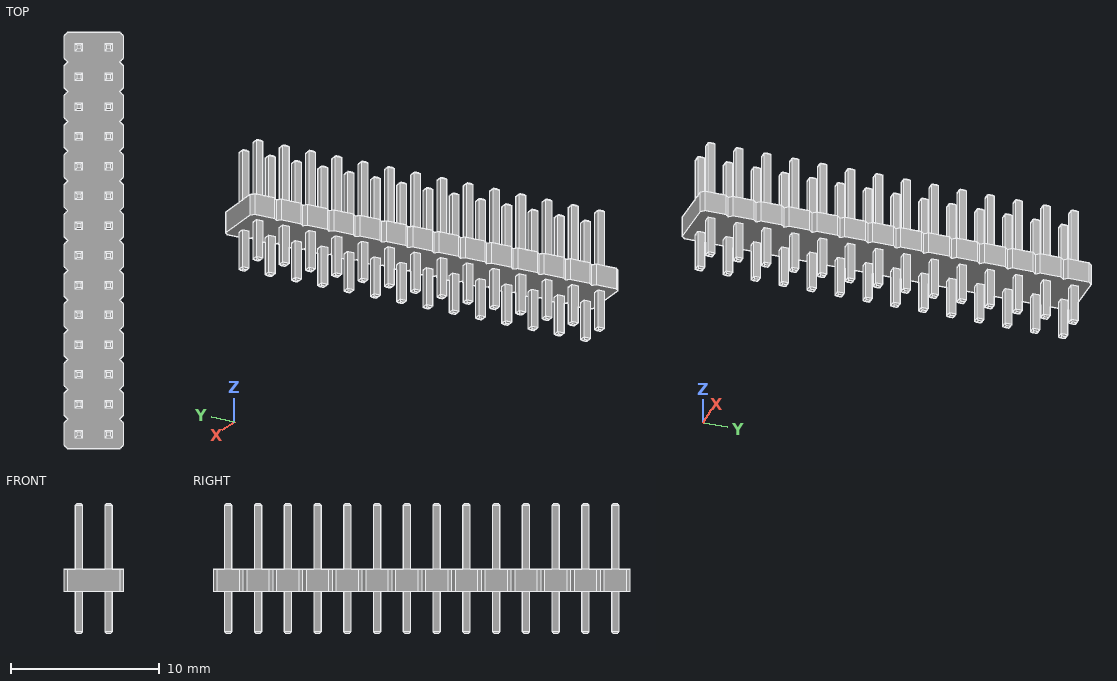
import cadquery as cq

length = 28.0
positions = 14
rows = 2
pitch = length / positions
width = rows * pitch

body_thickness = 1.5
corner_cut = 0.25

pin_side = 0.5
pin_length = 8.7
pin_tail = 2.8
tip_cut = 0.1


def body_segment(y):
    """One pitch-long body segment, with its four vertical corners cut."""
    segment = cq.Workplane("XY").box(width, pitch, body_thickness, centered=(True, True, False))
    return segment.edges("|Z").chamfer(corner_cut).translate((0, y, 0))


def pin(x, y):
    """Square pin through the body, tapered at both ends."""
    bar = cq.Workplane("XY").box(pin_side, pin_side, pin_length, centered=(True, True, False))
    return bar.faces("<Z or >Z").chamfer(tip_cut).translate((x, y, -pin_tail))


def centred_places(count):
    """Places one pitch apart, centred on zero."""
    return [(i - (count - 1) / 2) * pitch for i in range(count)]


result = cq.Workplane("XY")
for y in centred_places(positions):
    result = result.union(body_segment(y))
    for x in centred_places(rows):
        result = result.union(pin(x, y))
result = result.clean()